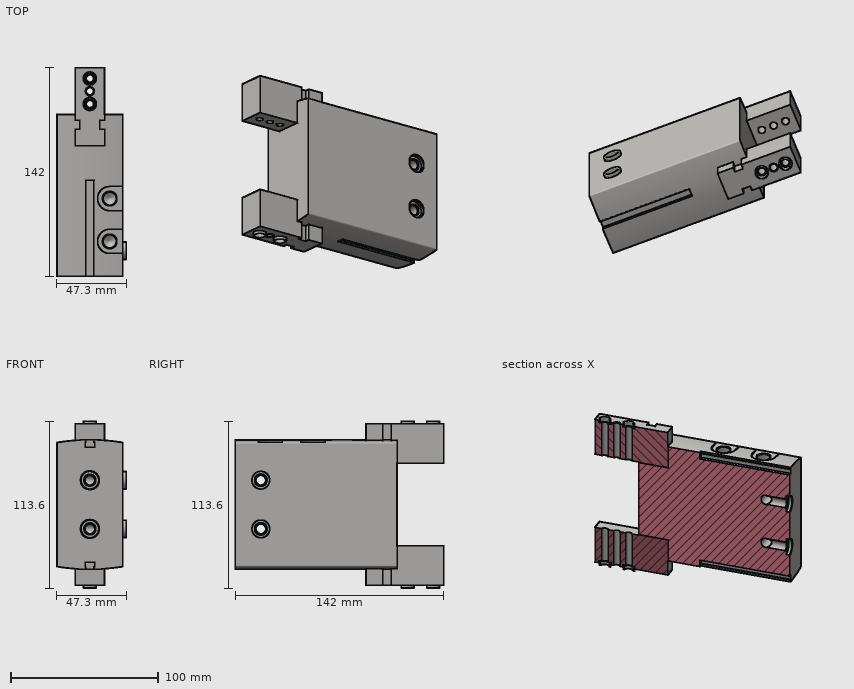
import cadquery as cq
import math


housing_width = 45.0
housing_length = 110.2
housing_height = 88.2
crown_rise = 1.8
corner_fillet = 1.0

groove_length = 65.5
groove_depth = 5.0
groove_width = 6.5
groove_neck_width = 5.4
groove_neck_depth = 1.7

screw_pitch = 33.1
side_screw_y = 17.5
screw_hole_diameter = 6.7
screw_countersink_diameter = 8.1
seat_diameter = 12.0
seat_mouth_diameter = 12.8
seat_depth = 2.5

port_y_positions = (23.9, 53.0)
port_x = 13.5
port_diameter = 9.0
port_mouth_diameter = 10.0
port_depth = 14.2
port_tip_angle = 118
port_recess_radius = 8.2
port_recess_depth = 1.7

jaw_width = 20.0
jaw_start_y = 88.9
jaw_end_y = 142.0
jaw_inner_z = 28.0
jaw_outer_z = 55.0
notch_start_y = 100.3
notch_end_y = 106.2
notch_neck_width = 13.5

jaw_hole_diameter = 5.0
jaw_hole_mouth_diameter = 6.0
jaw_hole_y = 126.0
jaw_sleeve_pitch = 17.3

jaw_sleeve_diameter = 9.0
jaw_sleeve_bore = 6.7
jaw_sleeve_protrusion = 1.8
jaw_sleeve_seat_depth = 1.5
side_sleeve_diameter = 12.0
side_sleeve_bore = 8.5
side_sleeve_protrusion = 2.3
side_sleeve_edge_radius = 0.5

top_z = housing_height / 2
side_x = housing_width / 2
port_recess_z = top_z - port_recess_depth
screw_z_positions = (-screw_pitch / 2, screw_pitch / 2)
jaw_sleeve_y_positions = (jaw_hole_y - jaw_sleeve_pitch / 2, jaw_hole_y + jaw_sleeve_pitch / 2)


def cylinder(diameter, length, start, direction):
    return cq.Workplane(cq.Solid.makeCylinder(diameter / 2, length, cq.Vector(*start), cq.Vector(*direction)))


def cone(start_diameter, end_diameter, length, start, direction):
    solid = cq.Solid.makeCone(
        start_diameter / 2, end_diameter / 2, length, cq.Vector(*start), cq.Vector(*direction)
    )
    return cq.Workplane(solid)


def mouth_chamfer(mouth_diameter, hole_diameter, start, direction):
    """45 degree cone that widens a hole to its mouth diameter."""
    return cone(mouth_diameter, hole_diameter, (mouth_diameter - hole_diameter) / 2, start, direction)


def box(x_range, y_range, z_range):
    size = [high - low for low, high in (x_range, y_range, z_range)]
    return cq.Workplane().box(*size, centered=False).translate((x_range[0], y_range[0], z_range[0]))


def mirrored(shape):
    return shape.mirror("XY")


def crowned_block():
    """Block whose top and bottom faces are shallow arcs."""
    edge_z = top_z - crown_rise
    outline = (
        cq.Workplane("XZ")
        .moveTo(-side_x, -edge_z)
        .lineTo(-side_x, edge_z)
        .threePointArc((0, top_z), (side_x, edge_z))
        .lineTo(side_x, -edge_z)
        .threePointArc((0, -top_z), (-side_x, -edge_z))
        .close()
    )
    return outline.extrude(-housing_length).edges("|Y").fillet(corner_fillet)


def groove_cutter():
    """T-groove in the top face, open at the rear."""
    neck_z = top_z - groove_neck_depth
    along = (0, groove_length)
    wide = box((-groove_width / 2, groove_width / 2), along, (top_z - groove_depth, neck_z))
    neck = box((-groove_neck_width / 2, groove_neck_width / 2), along, (neck_z, top_z))
    return wide.union(neck)


def side_screw_cutter(z):
    """Hole through the full width, with a seat at -X and a sleeve seat at +X."""
    entry = (-side_x, side_screw_y, z)
    floor = (-side_x + seat_depth, side_screw_y, z)
    sleeve_floor = (side_x - seat_depth, side_screw_y, z)
    return (
        cylinder(screw_hole_diameter, housing_width, entry, (1, 0, 0))
        .union(cylinder(seat_diameter, seat_depth, entry, (1, 0, 0)))
        .union(mouth_chamfer(seat_mouth_diameter, seat_diameter, entry, (1, 0, 0)))
        .union(mouth_chamfer(screw_countersink_diameter, screw_hole_diameter, floor, (1, 0, 0)))
        .union(cylinder(side_sleeve_diameter, seat_depth, sleeve_floor, (1, 0, 0)))
    )


def rear_screw_cutter(z):
    """Hole from the rear face that runs into the side screw hole."""
    entry = (0, 0, z)
    floor = (0, seat_depth, z)
    return (
        cylinder(screw_hole_diameter, side_screw_y, entry, (0, 1, 0))
        .union(cylinder(seat_diameter, seat_depth, entry, (0, 1, 0)))
        .union(mouth_chamfer(seat_mouth_diameter, seat_diameter, entry, (0, 1, 0)))
        .union(mouth_chamfer(screw_countersink_diameter, screw_hole_diameter, floor, (0, 1, 0)))
    )


def port_cutter(y):
    """Flat recess open towards +X, with a drilled port in its floor."""
    floor = (port_x, y, port_recess_z)
    bottom = (port_x, y, port_recess_z - port_depth)
    tip_length = port_diameter / 2 / math.tan(math.radians(port_tip_angle / 2))
    recess_round = cylinder(2 * port_recess_radius, port_recess_depth, floor, (0, 0, 1))
    recess_run = box(
        (port_x, side_x), (y - port_recess_radius, y + port_recess_radius), (port_recess_z, top_z)
    )
    return (
        recess_round.union(recess_run)
        .union(cylinder(port_diameter, port_depth, floor, (0, 0, -1)))
        .union(mouth_chamfer(port_mouth_diameter, port_diameter, floor, (0, 0, -1)))
        .union(cone(port_diameter, 0, tip_length, bottom, (0, 0, -1)))
    )


def jaw_block():
    """Upper jaw without holes, notched on both sides where the housing guides it."""
    half_width = jaw_width / 2
    z_range = (jaw_inner_z, jaw_outer_z)
    block = box((-half_width, half_width), (jaw_start_y, jaw_end_y), z_range)
    notch = box((notch_neck_width / 2, half_width), (notch_start_y, notch_end_y), z_range)
    return block.cut(notch).cut(notch.mirror("YZ"))


def make_jaw():
    jaw = jaw_block()
    height = jaw_outer_z - jaw_inner_z
    for y in (jaw_hole_y, *jaw_sleeve_y_positions):
        jaw = jaw.cut(cylinder(jaw_hole_diameter, height, (0, y, jaw_inner_z), (0, 0, 1)))
    for y in jaw_sleeve_y_positions:
        seat_floor = (0, y, jaw_outer_z - jaw_sleeve_seat_depth)
        jaw = jaw.cut(cylinder(jaw_sleeve_diameter, jaw_sleeve_seat_depth, seat_floor, (0, 0, 1)))
    entry = (0, jaw_hole_y, jaw_outer_z)
    return jaw.cut(mouth_chamfer(jaw_hole_mouth_diameter, jaw_hole_diameter, entry, (0, 0, -1)))


def make_housing():
    housing = crowned_block()
    for cutter in (groove_cutter(), jaw_block()):
        housing = housing.cut(cutter).cut(mirrored(cutter))
    for z in screw_z_positions:
        housing = housing.cut(side_screw_cutter(z)).cut(rear_screw_cutter(z))
    for y in port_y_positions:
        housing = housing.cut(port_cutter(y))
    return housing


def make_jaw_sleeve(y):
    """Sleeve in the outer face of the upper jaw, its free end fully rounded."""
    inner_radius = jaw_sleeve_bore / 2
    outer_radius = jaw_sleeve_diameter / 2
    end_radius = (outer_radius - inner_radius) / 2
    length = jaw_sleeve_seat_depth + jaw_sleeve_protrusion
    section = (
        cq.Workplane("XZ")
        .moveTo(inner_radius, 0)
        .lineTo(outer_radius, 0)
        .lineTo(outer_radius, length - end_radius)
        .threePointArc((inner_radius + end_radius, length), (inner_radius, length - end_radius))
        .close()
    )
    sleeve = section.revolve(360, (0, 0), (0, 1))
    return sleeve.translate((0, y, jaw_outer_z - jaw_sleeve_seat_depth))


def make_side_sleeve(z):
    """Sleeve in the +X side of the housing, rounded along the edges of its free end."""
    ring = (
        cq.Workplane("YZ")
        .circle(side_sleeve_diameter / 2)
        .circle(side_sleeve_bore / 2)
        .extrude(seat_depth + side_sleeve_protrusion)
    )
    sleeve = ring.faces(">X").edges().fillet(side_sleeve_edge_radius)
    return sleeve.translate((side_x - seat_depth, side_screw_y, z))


housing = make_housing()
upper_jaw = make_jaw()
jaws = [upper_jaw, mirrored(upper_jaw)]
jaw_sleeves = []
for y in jaw_sleeve_y_positions:
    upper_sleeve = make_jaw_sleeve(y)
    jaw_sleeves += [upper_sleeve, mirrored(upper_sleeve)]
side_sleeves = [make_side_sleeve(z) for z in screw_z_positions]

bodies = [housing, *jaws, *jaw_sleeves, *side_sleeves]
result = cq.Compound.makeCompound([body.val() for body in bodies])